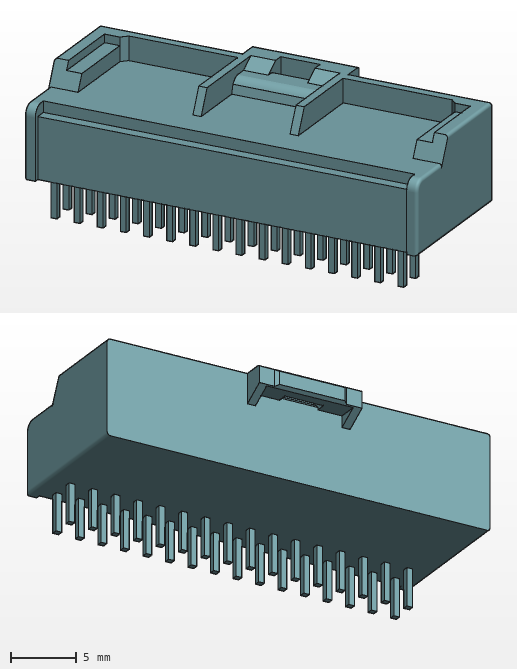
import cadquery as cq
import math

LENGTH = 34.0
DEPTH = 12.4
HEIGHT = 8.23
EDGE_RADIUS = 0.27
FRONT_RADIUS = 0.92

TOLERANCE = 0.005

FLOOR_Z = HEIGHT - 2.05
SLOPE_TOP_Y = -7.3
SLOPE_FOOT_Y = -8.3
REAR_WALL = 0.8
TRAY_HALF = 14.5
TRAY_CORNER = 0.5
LEDGE_HALF = 15.8
LEDGE_DROP = 0.7

POST_WIDTH = 0.95
FACE_SETBACK = 0.4
STEP_DEPTH = 0.95
STEP_DROP = 0.95

LATCH_HALF = 4.55
RIB_INNER_HALF = 3.85
LATCH_REACH = 2.07
LATCH_TOP_REACH = 1.65
LATCH_SHOULDER = 1.85
LATCH_TIP_TOP = HEIGHT - 0.27
LATCH_TIP_BOTTOM = HEIGHT - 1.4
LATCH_ROOT_Z = HEIGHT - 2.6
UNDERSIDE_Z = HEIGHT - 1.6
LIP_ROOT_HALF = 3.2
LIP_TIP_HALF = 2.9
WINDOW_HALF = 1.7
WINDOW_REAR_Y = 0.85

RIDGE_Z = HEIGHT - 0.78
RAMP_FOOT_Y = -1.22
RIDGE_FRONT_Y = -2.25
ROUNDING_END = (-3.0, HEIGHT - 1.3)
RIDGE_FOOT_Y = -3.2
ROUNDING_SWEEP = 45
NOTCH_DEPTH = 0.6
NOTCH_DROP = 0.3
NOTCH_CHAMFER = 0.3

PIN_COUNT = 16
PIN_SPAN = 30.0
PIN_PITCH = PIN_SPAN / (PIN_COUNT - 1)
PIN_SIZE = 0.5
PIN_LENGTH = 3.25
FRONT_ROW_Y = -DEPTH + 1.33


def block(x_half, y_front, y_rear, z_low, z_high):
    """Box centred on X = 0."""
    size = (2 * x_half, y_rear - y_front, z_high - z_low)
    return cq.Workplane("XY").box(*size, centered=(True, False, False)).translate((0, y_front, z_low))


def across(outline, half_width):
    """Extrude a (Y, Z) outline symmetrically along X."""
    return cq.Workplane("YZ").polyline(outline).close().extrude(half_width, both=True)


def make_shell():
    """Solid stepped housing with rounded front and end-face edges."""
    shell = across(
        [
            (0, 0),
            (-DEPTH, 0),
            (-DEPTH, FLOOR_Z),
            (SLOPE_FOOT_Y, FLOOR_Z),
            (SLOPE_TOP_Y, HEIGHT),
            (0, HEIGHT),
        ],
        LENGTH / 2,
    )
    upper_front_edge = cq.selectors.NearestToPointSelector((0, -DEPTH, FLOOR_Z))
    shell = shell.edges(upper_front_edge).fillet(FRONT_RADIUS)

    slope_y = (SLOPE_TOP_Y + SLOPE_FOOT_Y) / 2
    slope_z = (FLOOR_Z + HEIGHT) / 2

    def is_rounded(edge):
        """All end-face edges except those on the rear face and on the slope."""
        middle = edge.Center()
        on_rear = abs(middle.y) < TOLERANCE
        on_slope = math.hypot(middle.y - slope_y, middle.z - slope_z) < TOLERANCE
        return not (on_rear or on_slope)

    end_edges = shell.faces("<X or >X").edges().filter(is_rounded)
    return end_edges.fillet(EDGE_RADIUS)


def make_tray():
    """Tray cavity with chamfered rear corners and a lowered ledge in each end wall."""
    tray = block(TRAY_HALF, -DEPTH, -REAR_WALL, FLOOR_Z, HEIGHT)
    tray = tray.edges("|Z and >Y").chamfer(TRAY_CORNER)
    ledge_rear_y = -REAR_WALL - TRAY_CORNER
    return tray.union(block(LEDGE_HALF, -DEPTH, ledge_rear_y, HEIGHT - LEDGE_DROP, HEIGHT))


def make_front_recess():
    """Material removed between the corner posts: a set-back face and a step along the tray floor."""
    half = LENGTH / 2 - POST_WIDTH
    face = block(half, -DEPTH, -DEPTH + FACE_SETBACK, 0, FLOOR_Z)
    step_rear_y = -DEPTH + FACE_SETBACK + STEP_DEPTH
    return face.union(block(half, -DEPTH, step_rear_y, FLOOR_Z - STEP_DROP, FLOOR_Z))


def make_ribs():
    """Two ribs that flank the latch, from the rear face to the sloped front ends."""
    outline = [(0, FLOOR_Z), (SLOPE_FOOT_Y, FLOOR_Z), (SLOPE_TOP_Y, HEIGHT), (0, HEIGHT)]
    return across(outline, LATCH_HALF).cut(across(outline, RIB_INNER_HALF))


def make_latch():
    """Block behind the rear face, hollowed below and ending in a lip with chamfered ends."""
    latch = across(
        [
            (0, LATCH_ROOT_Z),
            (LATCH_REACH, LATCH_TIP_BOTTOM),
            (LATCH_REACH, LATCH_TIP_TOP),
            (LATCH_TOP_REACH, HEIGHT),
            (0, HEIGHT),
        ],
        LATCH_HALF,
    )
    plan = [
        (-LATCH_HALF, 0),
        (-LATCH_HALF, LATCH_SHOULDER),
        (-LIP_ROOT_HALF, LATCH_SHOULDER),
        (-LIP_TIP_HALF, LATCH_REACH),
        (LIP_TIP_HALF, LATCH_REACH),
        (LIP_ROOT_HALF, LATCH_SHOULDER),
        (LATCH_HALF, LATCH_SHOULDER),
        (LATCH_HALF, 0),
    ]
    latch = latch.intersect(cq.Workplane("XY").polyline(plan).close().extrude(HEIGHT))
    return latch.cut(block(RIB_INNER_HALF, 0, LATCH_REACH, 0, UNDERSIDE_Z))


def make_ridge():
    """Ramp and rounded locking ridge that replace the rear wall between the ribs."""
    end_y, end_z = ROUNDING_END
    run = RIDGE_FRONT_Y - end_y
    drop = RIDGE_Z - end_z
    bulge = math.tan(math.radians(ROUNDING_SWEEP / 4)) / 2
    crest = (end_y + run / 2 - bulge * drop, end_z + drop / 2 + bulge * run)
    return (
        cq.Workplane("YZ")
        .moveTo(0, FLOOR_Z)
        .lineTo(0, HEIGHT)
        .lineTo(RAMP_FOOT_Y, RIDGE_Z)
        .lineTo(RIDGE_FRONT_Y, RIDGE_Z)
        .threePointArc(crest, ROUNDING_END)
        .lineTo(RIDGE_FOOT_Y, FLOOR_Z)
        .close()
        .extrude(RIB_INNER_HALF, both=True)
    )


def make_window():
    """Opening through the latch, with a step and chamfer at the rear of the ridge."""
    opening = block(WINDOW_HALF, 0, WINDOW_REAR_Y, 0, HEIGHT)
    step_z = RIDGE_Z - NOTCH_DROP
    above_ridge = across(
        [
            (0, HEIGHT),
            (RAMP_FOOT_Y, HEIGHT),
            (RAMP_FOOT_Y, RIDGE_Z),
            (-NOTCH_DEPTH, RIDGE_Z),
            (-NOTCH_DEPTH, step_z),
            (-NOTCH_CHAMFER, step_z),
            (0, step_z - NOTCH_CHAMFER),
        ],
        WINDOW_HALF,
    )
    return opening.union(above_ridge)


def make_pins():
    """Two rows of square pins, embedded by one pin width in the housing."""
    positions = [
        (column * PIN_PITCH - PIN_SPAN / 2, FRONT_ROW_Y + row * PIN_PITCH)
        for row in range(2)
        for column in range(PIN_COUNT)
    ]
    return (
        cq.Workplane("XY", origin=(0, 0, -PIN_LENGTH))
        .pushPoints(positions)
        .rect(PIN_SIZE, PIN_SIZE)
        .extrude(PIN_LENGTH + PIN_SIZE)
    )


latch_opening = block(RIB_INNER_HALF, -REAR_WALL, 0, FLOOR_Z, HEIGHT)

result = (
    make_shell()
    .cut(make_tray())
    .cut(make_front_recess())
    .cut(latch_opening)
    .union(make_ribs())
    .union(make_latch())
    .union(make_ridge())
    .cut(make_window())
    .union(make_pins())
)